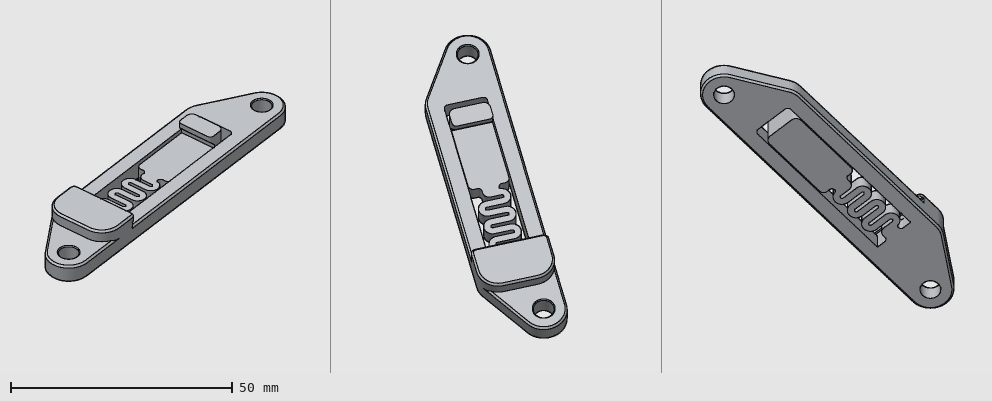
import cadquery as cq
import math

LENGTH = 80.8
WIDTH = 18.0
HEIGHT = 7.6
BODY_HEIGHT = 4.6
EDGE_CHAMFER = 0.5

EAR_RADIUS = 5.3
EAR_X = WIDTH / 2 - EAR_RADIUS
EAR_Y = LENGTH / 2 - EAR_RADIUS
HOLE_DIAMETER = 4.7
HOLE_CHAMFER = 0.25

SHOULDER_RADIUS = 5.0
SHOULDER_X = WIDTH / 2 - SHOULDER_RADIUS
SHOULDER_Y = 23.4

BLOCK_WALL_Y = -18.6
LIP_Y = -17.45
LIP_BOTTOM_Z = 5.9
LIP_CORNER_RADIUS = 1.2
LIP_LOWER_CHAMFER = 0.7
BLOCK_END_Y = -SHOULDER_Y - SHOULDER_RADIUS

WINDOW_WIDTH = 10.0
WINDOW_TOP_Y = 23.0
WINDOW_CORNER_RADIUS = 1.0

SLIDE_CLEARANCE = 0.25
PLATE_WIDTH = WINDOW_WIDTH - 2 * SLIDE_CLEARANCE
PLATE_TOP_Y = 19.9
PLATE_BOTTOM_Y = 0.2
PLATE_THICKNESS = 3.8
PLATE_CORNER_RADIUS = 1.2
TAB_REAR_RADIUS = 1.5
TAB_FRONT_RADIUS = 1.0
TAB_FRONT_Y = 15.2
TAB_UNDERCUT = 1.4
TAB_UNDERCUT_TOP_Z = 6.2

SPRING_ARM = 1.6
SPRING_GAP = 0.8
SPRING_BENDS = 6
BEND_X = 2.0
NECK_FILLET = 0.8
NECK_CORNER_RADIUS = 1.5
NOTCH_FILLET = 0.5
SPRING_MIDDLE_Y = (PLATE_BOTTOM_Y + BLOCK_WALL_Y) / 2
SPRING_PITCH = SPRING_ARM + SPRING_GAP
FIRST_GAP_Y = SPRING_MIDDLE_Y + SPRING_PITCH * (SPRING_BENDS - 1) / 2


def box(x_min, x_max, y_min, y_max, z_min, z_max):
    size = (x_max - x_min, y_max - y_min, z_max - z_min)
    return cq.Workplane("XY").box(*size, centered=False).translate((x_min, y_min, z_min))


def body_outline():
    """Straight right side; the left side slopes along common tangents to the ears."""
    dx = EAR_X + SHOULDER_X
    dy = EAR_Y - SHOULDER_Y
    turn = math.atan2(dy, dx) + math.acos((EAR_RADIUS - SHOULDER_RADIUS) / math.hypot(dx, dy))
    nx = math.cos(turn)
    ny = math.sin(turn)
    ear_tangent = (EAR_X + EAR_RADIUS * nx, EAR_Y + EAR_RADIUS * ny)
    shoulder_tangent = (-SHOULDER_X + SHOULDER_RADIUS * nx, SHOULDER_Y + SHOULDER_RADIUS * ny)
    half = (turn + math.pi) / 2
    shoulder_mid = (
        -SHOULDER_X + SHOULDER_RADIUS * math.cos(half),
        SHOULDER_Y + SHOULDER_RADIUS * math.sin(half),
    )

    def mirrored(point):
        return (point[0], -point[1])

    return (
        cq.Workplane("XY")
        .moveTo(WIDTH / 2, -EAR_Y)
        .lineTo(WIDTH / 2, EAR_Y)
        .threePointArc((EAR_X, LENGTH / 2), ear_tangent)
        .lineTo(*shoulder_tangent)
        .threePointArc(shoulder_mid, (-WIDTH / 2, SHOULDER_Y))
        .lineTo(-WIDTH / 2, -SHOULDER_Y)
        .threePointArc(mirrored(shoulder_mid), mirrored(shoulder_tangent))
        .lineTo(*mirrored(ear_tangent))
        .threePointArc((EAR_X, -LENGTH / 2), (WIDTH / 2, -EAR_Y))
        .close()
    )


def make_body():
    return body_outline().extrude(BODY_HEIGHT).faces("<Z or >Z").chamfer(EDGE_CHAMFER)


def make_block():
    half_width = WIDTH / 2
    block = (
        box(-half_width, half_width, BLOCK_END_Y, LIP_Y, EDGE_CHAMFER, HEIGHT)
        .edges("|Z and <Y").fillet(SHOULDER_RADIUS)
        .edges("|Z and >Y").fillet(LIP_CORNER_RADIUS)
        .faces(">Z").chamfer(EDGE_CHAMFER)
    )
    under_lip = (
        cq.Workplane("YZ")
        .moveTo(BLOCK_WALL_Y, 0)
        .lineTo(BLOCK_WALL_Y, LIP_BOTTOM_Z)
        .lineTo(LIP_Y - LIP_LOWER_CHAMFER, LIP_BOTTOM_Z)
        .lineTo(LIP_Y, LIP_BOTTOM_Z + LIP_LOWER_CHAMFER)
        .lineTo(LIP_Y, 0)
        .close()
        .extrude(half_width, both=True)
    )
    return block.cut(under_lip)


def make_window():
    half_width = WINDOW_WIDTH / 2
    window = box(-half_width, half_width, BLOCK_WALL_Y, WINDOW_TOP_Y, 0, BODY_HEIGHT)
    return window.edges("|Z and >Y").fillet(WINDOW_CORNER_RADIUS)


def make_hole(y):
    bore_radius = HOLE_DIAMETER / 2
    bore = cq.Workplane("XY").center(EAR_X, y).circle(bore_radius).extrude(BODY_HEIGHT)
    mouth = (
        cq.Workplane("XY", origin=(EAR_X, y, BODY_HEIGHT))
        .circle(bore_radius + HOLE_CHAMFER)
        .workplane(offset=-HOLE_CHAMFER)
        .circle(bore_radius)
        .loft()
    )
    return bore.union(mouth)


def make_tab():
    half_width = PLATE_WIDTH / 2
    tab = (
        box(-half_width, half_width, TAB_FRONT_Y, PLATE_TOP_Y, 0, HEIGHT)
        .edges("|Z and >Y").fillet(TAB_REAR_RADIUS)
        .edges("|Z and <Y").fillet(TAB_FRONT_RADIUS)
    )
    tab_root_y = TAB_FRONT_Y + TAB_UNDERCUT
    undercut = (
        cq.Workplane("YZ")
        .moveTo(TAB_FRONT_Y, 0)
        .lineTo(TAB_FRONT_Y, TAB_UNDERCUT_TOP_Z)
        .lineTo(tab_root_y, TAB_UNDERCUT_TOP_Z - TAB_UNDERCUT)
        .lineTo(tab_root_y, 0)
        .close()
        .extrude(half_width, both=True)
    )
    return tab.cut(undercut)


def make_plate():
    half_width = PLATE_WIDTH / 2
    plate = (
        box(-half_width, half_width, PLATE_BOTTOM_Y, PLATE_TOP_Y, 0, PLATE_THICKNESS)
        .edges("|Z and <Y").fillet(PLATE_CORNER_RADIUS)
        .edges("|Z and >Y").fillet(TAB_REAR_RADIUS)
    )
    return plate.union(make_tab())


def make_bend(side, y):
    """Half ring on the given side (+1 right, -1 left), centred on a gap between two arms."""
    inner = SPRING_GAP / 2
    outer = inner + SPRING_ARM
    x = side * BEND_X
    return (
        cq.Workplane("XY")
        .moveTo(x, y + outer)
        .threePointArc((x + side * outer, y), (x, y - outer))
        .lineTo(x, y - inner)
        .threePointArc((x + side * inner, y), (x, y + inner))
        .close()
        .extrude(PLATE_THICKNESS)
    )


def make_neck():
    """Block joining the first arm to the plate, rounded where it turns into the arm."""
    neck = box(-BEND_X, BEND_X, FIRST_GAP_Y + SPRING_GAP / 2, PLATE_BOTTOM_Y, 0, PLATE_THICKNESS)
    return neck.edges("|Z and <X and <Y").fillet(NECK_CORNER_RADIUS)


def half_turn(shape):
    """Turn a shape half way round about the middle of the spring."""
    middle = (0, SPRING_MIDDLE_Y)
    return shape.rotate((*middle, 0), (*middle, 1), 180)


def make_spring():
    neck = make_neck()
    spring = neck.union(half_turn(neck))
    for index in range(SPRING_BENDS):
        gap_y = FIRST_GAP_Y - index * SPRING_PITCH
        side = 1 if index % 2 == 0 else -1
        spring = spring.union(make_bend(side, gap_y))
        if index < SPRING_BENDS - 1:
            arm_top = gap_y - SPRING_GAP / 2
            arm = box(-BEND_X, BEND_X, arm_top - SPRING_ARM, arm_top, 0, PLATE_THICKNESS)
            spring = spring.union(arm)
    return spring


def fillet_corner(shape, x, y, radius):
    """Round the upright edge that stands at (x, y)."""
    reach = 0.1
    near = cq.selectors.BoxSelector(
        (x - reach, y - reach, 0), (x + reach, y + reach, PLATE_THICKNESS)
    )
    return shape.edges("|Z").edges(near).fillet(radius)


def round_spring_ends(shape):
    """Fillet both necks into the plate and the wall, and the notch beside each end bend."""
    notch_y = FIRST_GAP_Y + SPRING_GAP / 2 + SPRING_ARM
    corners = [
        (-BEND_X, PLATE_BOTTOM_Y, NECK_FILLET),
        (BEND_X, PLATE_BOTTOM_Y, NECK_FILLET),
        (BEND_X, notch_y, NOTCH_FILLET),
    ]
    for x, y, radius in corners:
        shape = fillet_corner(shape, x, y, radius)
        shape = fillet_corner(shape, -x, 2 * SPRING_MIDDLE_Y - y, radius)
    return shape


frame = make_body().union(make_block()).cut(make_window())
for ear_y in (-EAR_Y, EAR_Y):
    frame = frame.cut(make_hole(ear_y))

result = round_spring_ends(frame.union(make_plate()).union(make_spring()))